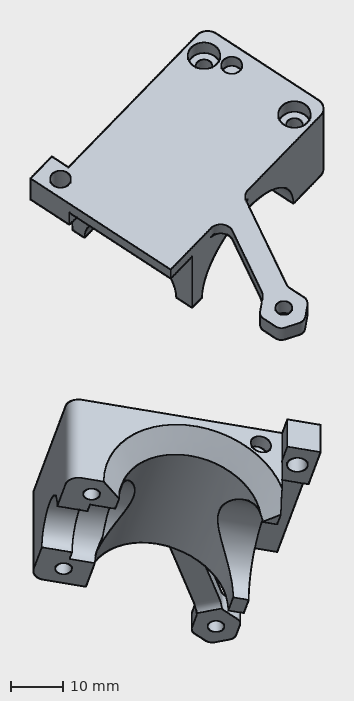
import cadquery as cq
import math

total_length = 61.3
total_depth = 48.5
total_height = 20.0

body_left = 4.05
body_right = 34.15
body_front = 6.55
corner_radius = 2.6
plate_thickness = 3.0
body_width = body_right - body_left
body_center_x = (body_left + body_right) / 2

tab_width = 9.5
tab_height = 7.0
tab_hole_x = 4.6
tab_hole_y = 3.45

cross_bore_y = 23.6
cross_bore_radius = 14.0
cross_bore_chamfer = 4.05

stepped_bore = [(11.15, 36.5), (8.0, 42.55), (6.05, total_depth)]

screw_diameter = 3.2
screw_head_diameter = 6.2
screw_head_depth = 3.5
screw_y = 42.95
screw_inset = 4.05
pin_diameter = 4.0
pin_depth = 3.0
top_pin_x = 13.6
top_pin_y = 44.5
side_pin_y = 10.7
side_pin_z = 16.2

hub_y = 6.45
hub_flats = 8.7
hub_thickness = 4.0
hub_edge_radius = 1.85
arm_angle = 150.0
arm_root_radius = 2.4
arm_step_radius = 2.0
arm_step = hub_thickness - plate_thickness
hub_circumradius = hub_flats / 2 / math.cos(math.radians(30))
hub_corner_loss = hub_edge_radius * (1 / math.cos(math.radians(30)) - 1)
hub_x = total_length - hub_circumradius + hub_corner_loss
arm_width = hub_circumradius
arm_reach = (hub_x - body_center_x) / math.cos(math.radians(180 - arm_angle))
arm_hub_corners = [
    (hub_x - hub_circumradius, hub_y),
    (hub_x - hub_circumradius / 2, hub_y + hub_flats / 2),
]


def block(x0, x1, y0, y1, z0, z1):
    """Box given by its limits on each axis."""
    return cq.Workplane("XY").box(x1 - x0, y1 - y0, z1 - z0, centered=False).translate((x0, y0, z0))


def vertical_hole(x, y, diameter, depth):
    """Cylinder going down from the top face."""
    return cq.Workplane("XY", origin=(x, y, total_height - depth)).circle(diameter / 2).extrude(depth)


def make_body():
    body = block(body_left, body_right, body_front, total_depth, 0, total_height)
    body = body.edges("|Z and >Y").fillet(corner_radius)
    tab = block(0, tab_width, 0, body_front, total_height - tab_height, total_height)
    return body.union(tab)


def upright_edge_at(x, y):
    """Selector for the vertical edge that passes through a point of the outline."""
    return cq.selectors.BoxSelector((x - 0.05, y - 0.05, 0), (x + 0.05, y + 0.05, total_height))


def make_hub():
    hub = (
        cq.Workplane("XY", origin=(hub_x, hub_y, total_height - hub_thickness))
        .polygon(6, 2 * hub_circumradius)
        .extrude(hub_thickness)
    )
    outer_corners = hub.edges("|Z")
    for x, y in arm_hub_corners:
        outer_corners = outer_corners.edges(cq.selectors.InverseSelector(upright_edge_at(x, y)))
    return outer_corners.fillet(hub_edge_radius)


def make_arm_relief():
    """Space below the thin arm and plate, rounded where it stops against the hub."""
    arc_end_x = hub_flats / 2 + arm_step_radius
    arc_start_x = arc_end_x - math.sqrt(arm_step_radius**2 - (arm_step_radius - arm_step) ** 2)
    relief = (
        cq.Workplane("XZ")
        .moveTo(2 * total_length, 0)
        .lineTo(arc_end_x, 0)
        .tangentArcPoint((arc_start_x, -arm_step), relative=False)
        .lineTo(2 * total_length, -arm_step)
        .close()
        .extrude(total_length, both=True)
    )
    relief = relief.rotate((0, 0, 0), (0, 0, 1), arm_angle)
    return relief.translate((hub_x, hub_y, total_height - plate_thickness))


def make_plate_with_arm():
    """Plate, arm and hub as one outline with rounded inner corners, then thinned up to the hub."""
    bottom = total_height - hub_thickness
    plate = block(body_left, body_right, 0, total_depth - corner_radius, bottom, total_height)
    arm = (
        cq.Workplane("XY")
        .box(arm_reach, arm_width, hub_thickness, centered=(False, True, False))
        .rotate((0, 0, 0), (0, 0, 1), arm_angle)
        .translate((hub_x, hub_y, bottom))
    )
    outline = plate.union(arm).union(make_hub())
    root_center_y = hub_y + (hub_x - body_right) * math.tan(math.radians(180 - arm_angle))
    root_half_width = arm_width / 2 / math.cos(math.radians(180 - arm_angle))
    for y in (root_center_y - root_half_width, root_center_y + root_half_width):
        outline = outline.edges("|Z").edges(upright_edge_at(body_right, y)).fillet(arm_root_radius)
    for x, y in arm_hub_corners:
        outline = outline.edges("|Z").edges(upright_edge_at(x, y)).fillet(hub_edge_radius)
    return outline.cut(make_arm_relief())


def make_cross_bore():
    start = cq.Workplane("YZ", origin=(body_left, cross_bore_y, 0))
    bore = start.circle(cross_bore_radius).extrude(body_width)
    cone = cq.Solid.makeCone(
        cross_bore_radius + cross_bore_chamfer,
        cross_bore_radius,
        cross_bore_chamfer,
        cq.Vector(body_left, cross_bore_y, 0),
        cq.Vector(1, 0, 0),
    )
    return bore.union(cq.Workplane(cone))


def make_stepped_bore():
    bore = cq.Workplane("XY")
    for radius, end_y in stepped_bore:
        start = cq.Workplane("XZ", origin=(body_center_x, body_front, 0))
        bore = bore.union(start.circle(radius).extrude(body_front - end_y))
    return bore


def make_holes():
    holes = vertical_hole(tab_hole_x, tab_hole_y, pin_diameter, total_height)
    holes = holes.union(vertical_hole(hub_x, hub_y, screw_diameter, total_height))
    holes = holes.union(vertical_hole(top_pin_x, top_pin_y, pin_diameter, pin_depth))
    for x in (body_left + screw_inset, body_right - screw_inset):
        holes = holes.union(vertical_hole(x, screw_y, screw_diameter, total_height))
        holes = holes.union(vertical_hole(x, screw_y, screw_head_diameter, screw_head_depth))
    side_pin = cq.Workplane("YZ", origin=(body_left, side_pin_y, side_pin_z))
    return holes.union(side_pin.circle(pin_diameter / 2).extrude(pin_depth))


result = make_body().union(make_plate_with_arm())
result = result.cut(make_cross_bore()).cut(make_stepped_bore()).cut(make_holes())